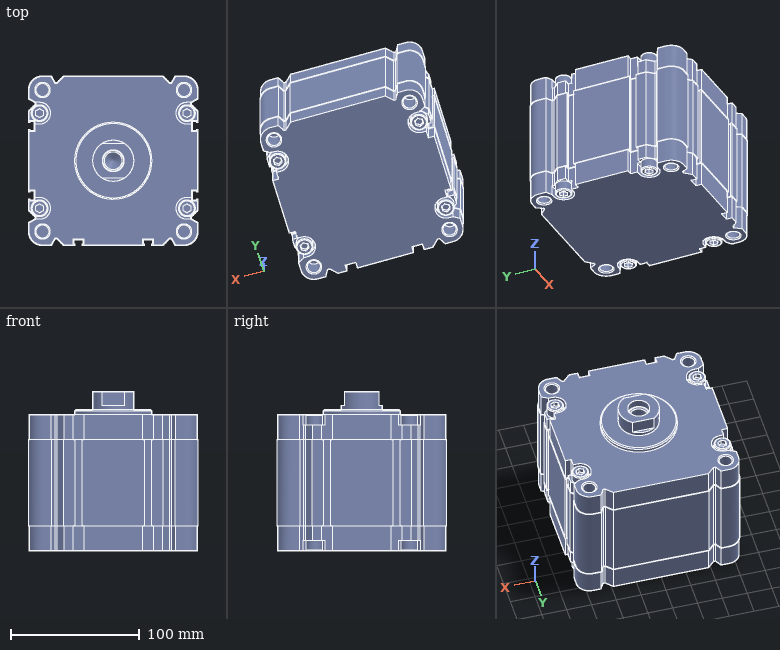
import cadquery as cq
import math

housing_height = 106
cap_height = 19.5
collar_height = 4
rod_top = 124

tube_side = 132
cap_side = 131
corner_hole_offset = 55

groove_depth = 5.3
groove_inner_mouth = 38.4
groove_outer_mouth = 48.4
tube_groove_inset = 0.25

slot_offset = 27
cap_slot_width = 8.5
cap_slot_floor = 60.7
tube_slot_width = 7
tube_slot_floor = 61.6
slot_mouth_width = 5.7
slot_lip_thickness = 1.3

screw_x = 57.3
screw_y = 37
screw_head_diameter = 13
screw_head_chamfer = (screw_head_diameter - 11.45) / 2
screw_head_height = 8
screw_recess_width = 17
hex_across_flats = 6
hex_depth = 4

mount_hole_diameter = 10.11
mount_hole_mouth = 12
mount_hole_depth = cap_height

collar_diameter = 60
collar_chamfer = 1
rod_diameter = 32
rod_flats = 27
rod_flats_bottom = 113.2
rod_bottom = housing_height - cap_height
rod_bore_diameter = 17
rod_bore_depth = 7
rod_thread_diameter = 13.84
rod_thread_mouth = 16
rod_thread_depth = 24
drill_point_height = rod_thread_diameter / 2 / math.tan(math.radians(60))

SIDE_BOTTOM, SIDE_RIGHT, SIDE_TOP, SIDE_LEFT = 0, 90, 180, 270
ALL_SIDES = (SIDE_BOTTOM, SIDE_RIGHT, SIDE_TOP, SIDE_LEFT)
SLOTTED_SIDES = (SIDE_BOTTOM, SIDE_RIGHT, SIDE_LEFT)


def turn(body, angle):
    """Rotate a body about the cylinder axis, by an angle in degrees."""
    return body.rotate((0, 0, 0), (0, 0, 1), angle)


def groove_pair(side, height, inset):
    """V grooves near both ends of the -Y side."""
    face = -side / 2
    floor = face + groove_depth - inset
    inner = groove_inner_mouth + inset
    outer = groove_outer_mouth - inset
    depth = floor - face
    outer_run = depth / math.tan(math.radians(60))
    groove = (
        cq.Workplane("XY")
        .polyline([(inner, face), (inner + depth, floor), (outer - outer_run, floor), (outer, face)])
        .close()
        .extrude(height)
    )
    return groove.union(groove.mirror("YZ"))


def slot_pair(side, height, width, floor):
    """Open rectangular slots reaching from the -Y face in to the slot floor."""
    depth = side / 2 - floor
    return (
        cq.Workplane("XY")
        .pushPoints([(x, -floor - depth / 2) for x in (-slot_offset, slot_offset)])
        .rect(width, depth)
        .extrude(height)
    )


def section(side, height, inset, slots):
    """Square prism with round corners, V grooves on all sides and slots on three."""
    body = (
        cq.Workplane("XY")
        .rect(side, side)
        .extrude(height)
        .edges("|Z")
        .fillet(side / 2 - corner_hole_offset)
    )
    for angle in ALL_SIDES:
        body = body.cut(turn(groove_pair(side, height, inset), angle))
    for angle in SLOTTED_SIDES:
        body = body.cut(turn(slots, angle))
    return body


def screw_recess(x, y):
    """Round-ended recess at the bottom of a cap, open to the nearest X side."""
    outward = math.copysign(1, x)
    opening = cap_side / 2 - abs(x)
    recess = cq.Workplane("XY").center(x, y).circle(screw_recess_width / 2).extrude(screw_head_height)
    channel = (
        cq.Workplane("XY")
        .center(x + outward * opening / 2, y)
        .rect(opening, screw_recess_width)
        .extrude(screw_head_height)
    )
    return recess.union(channel)


def screw_head(x, y):
    """Socket head whose outer face is at z = 0."""
    hex_circle = hex_across_flats / math.cos(math.radians(30))
    socket = cq.Workplane("XY").polygon(6, hex_circle).extrude(hex_depth)
    head = cq.Workplane("XY").circle(screw_head_diameter / 2).extrude(screw_head_height)
    head = head.faces("<Z").chamfer(screw_head_chamfer)
    return turn(head.cut(socket), 30).translate((x, y, 0))


def mount_hole(x, y):
    """Flat-bottomed hole with a countersunk mouth at z = 0."""
    mouth_depth = (mount_hole_mouth - mount_hole_diameter) / 2
    hole = (
        cq.Workplane("XZ")
        .polyline([
            (0, 0),
            (mount_hole_mouth / 2, 0),
            (mount_hole_diameter / 2, mouth_depth),
            (mount_hole_diameter / 2, mount_hole_depth),
            (0, mount_hole_depth),
        ])
        .close()
        .revolve(360, (0, 0, 0), (0, 1, 0))
    )
    return hole.translate((x, y, 0))


def make_cap():
    """End cap with its outer face at z = 0."""
    slots = slot_pair(cap_side, cap_height, cap_slot_width, cap_slot_floor)
    cap = section(cap_side, cap_height, 0, slots)
    for x_sign in (-1, 1):
        for y_sign in (-1, 1):
            x, y = x_sign * screw_x, y_sign * screw_y
            cap = cap.cut(screw_recess(x, y)).union(screw_head(x, y))
            cap = cap.cut(mount_hole(x_sign * corner_hole_offset, y_sign * corner_hole_offset))
    return cap


def make_tube():
    """Middle profile with lipped sensor slots."""
    height = housing_height - 2 * cap_height
    lip_inner = tube_side / 2 - slot_lip_thickness
    mouth = slot_pair(tube_side, height, slot_mouth_width, tube_slot_floor)
    chamber = slot_pair(2 * lip_inner, height, tube_slot_width, tube_slot_floor)
    tube = section(tube_side, height, tube_groove_inset, mouth.union(chamber))
    return tube.translate((0, 0, cap_height))


def make_collar():
    collar = cq.Workplane("XY").circle(collar_diameter / 2).extrude(collar_height)
    return collar.faces(">Z").chamfer(collar_chamfer).translate((0, 0, housing_height))


def make_housing():
    """Both caps, the tube and the guide collar, bored to carry the rod."""
    bottom_cap = make_cap()
    top_cap = bottom_cap.mirror("XY").translate((0, 0, housing_height))
    rod_hole = (
        cq.Workplane("XY")
        .workplane(offset=rod_bottom)
        .circle(rod_diameter / 2)
        .extrude(rod_top - rod_bottom)
    )
    return make_tube().union(bottom_cap).union(top_cap).union(make_collar()).cut(rod_hole)


def make_rod():
    """Rod with two wrench flats and a counterbored threaded hole ending in a drill point."""
    rod = (
        cq.Workplane("XY")
        .workplane(offset=rod_bottom)
        .circle(rod_diameter / 2)
        .extrude(rod_top - rod_bottom)
    )
    flat_depth = (rod_diameter - rod_flats) / 2
    for y_sign in (-1, 1):
        flat = cq.Workplane("XY").box(
            rod_diameter, flat_depth, rod_top - rod_flats_bottom, centered=(True, True, False)
        )
        rod = rod.cut(flat.translate((0, y_sign * (rod_flats + flat_depth) / 2, rod_flats_bottom)))
    bore_floor = rod_top - rod_bore_depth
    thread_radius = rod_thread_diameter / 2
    thread_chamfer = rod_thread_mouth / 2 - thread_radius
    thread_end = rod_top - rod_thread_depth
    hole = (
        cq.Workplane("XZ")
        .polyline([
            (0, rod_top),
            (rod_bore_diameter / 2, rod_top),
            (rod_bore_diameter / 2, bore_floor),
            (rod_thread_mouth / 2, bore_floor),
            (thread_radius, bore_floor - thread_chamfer),
            (thread_radius, thread_end),
            (0, thread_end - drill_point_height),
        ])
        .close()
        .revolve(360, (0, 0, 0), (0, 1, 0))
    )
    return rod.cut(hole)


housing = make_housing()
rod = make_rod()
result = cq.Compound.makeCompound([housing.val(), rod.val()])